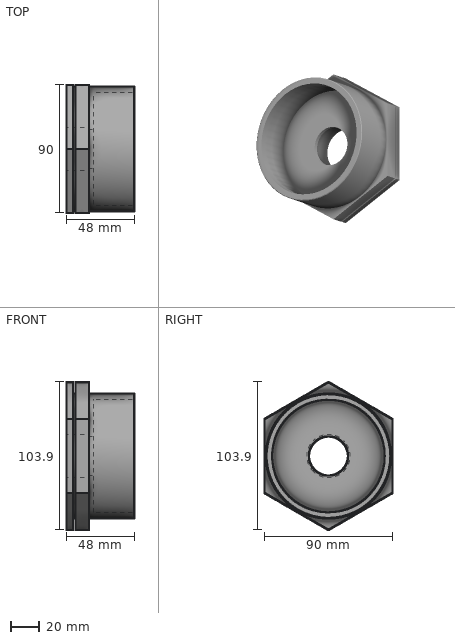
import cadquery as cq
import math

overall_length = 48.0
across_flats = 90.0
front_hex_thickness = 4.8
groove_width = 1.6
wrench_hex_thickness = 9.6

body_diameter = 87.88
end_chamfer = 0.48

entry_bore_diameter = 30.29
inner_bore_diameter = 27.26
inner_bore_length = 3.2
cavity_diameter = 79.1

wrench_hex_start = front_hex_thickness + groove_width
wrench_hex_end = wrench_hex_start + wrench_hex_thickness
entry_bore_end = wrench_hex_end
cavity_start = entry_bore_end + inner_bore_length


def hexagon(x_start, x_end):
    """Hexagonal plate on the X axis with corners pointing along +Z and -Z."""
    corner_diameter = across_flats / math.cos(math.pi / 6)
    plate = cq.Workplane("XY").polygon(6, corner_diameter).extrude(x_end - x_start)
    return plate.rotate((0, 0, 0), (0, 1, 0), 90).translate((x_start, 0, 0))


def cylinder(diameter, x_start, x_end):
    """Round bar on the X axis."""
    return cq.Workplane("YZ", origin=(x_start, 0, 0)).circle(diameter / 2).extrude(x_end - x_start)


def make_body():
    """Round body with a chamfered rear rim and two hexagons, leaving a groove between them."""
    body = cylinder(body_diameter, 0, overall_length).faces(">X").chamfer(end_chamfer)
    front_hex = hexagon(0, front_hex_thickness)
    wrench_hex = hexagon(wrench_hex_start, wrench_hex_end)
    return body.union(front_hex).union(wrench_hex)


def make_bore():
    """Everything removed from the inside: entry bore, narrower inner bore and rear cavity."""
    entry_bore = cylinder(entry_bore_diameter, 0, entry_bore_end)
    inner_bore = cylinder(inner_bore_diameter, 0, overall_length)
    cavity = cylinder(cavity_diameter, cavity_start, overall_length)
    return entry_bore.union(inner_bore).union(cavity)


result = make_body().cut(make_bore())